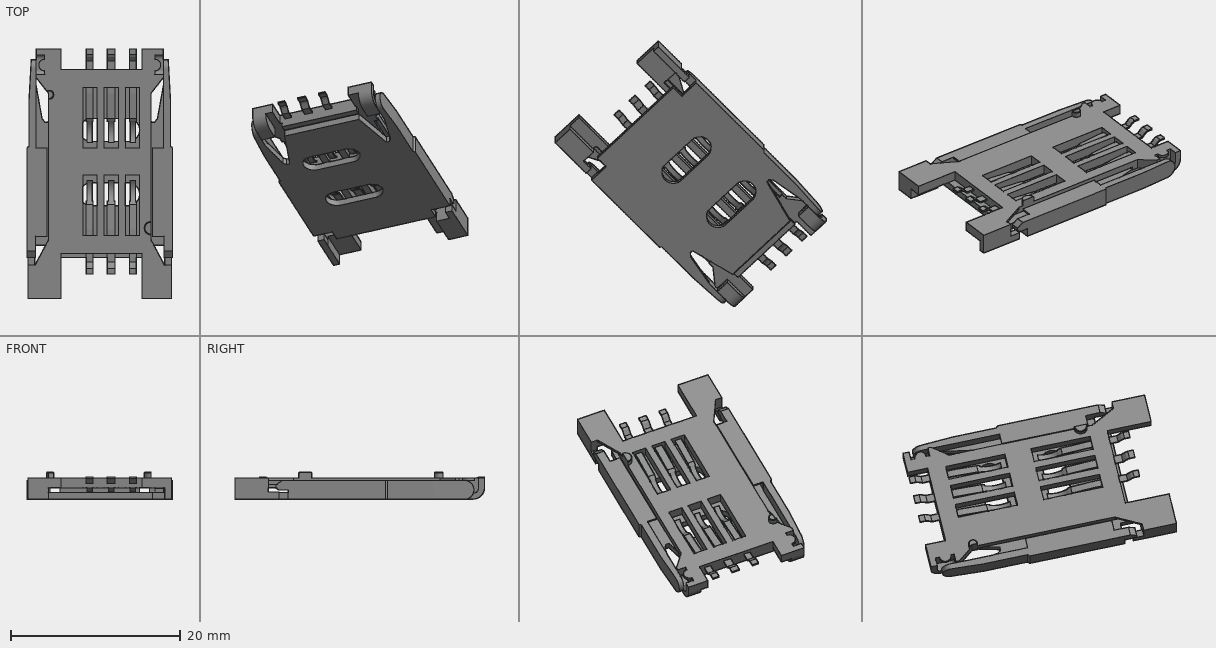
import cadquery as cq
import math

FLOOR_TOP = 0.8
ROOF = 1.35
RAIL_TOP = 2.22
PLATE_TOP = 2.53
PEG_TOP = 3.2

HALF_LENGTH = 14.75
PLATE_HALF_WIDTH = 6.06
ARM_HALF_WIDTH = 7.5
LEG_HALF_WIDTH = 8.48
ARM_FLARE_Y = 11.33
PLATE_REAR_Y = 9.49
PLATE_FRONT_Y = -7.8
LEG_FLARE_X = 7.65
LEG_REAR_Y = -10.78
EDGE_RELIEF_X = 5.6
EDGE_RELIEF_REAR_Y = 8.8
EDGE_RELIEF_TOP = 1.74

CONTACT_CENTRE_X = 1.355
CONTACT_CENTRE_Y = 1.45
CONTACT_PITCH = 2.56
CONTACT_WIDTHS = (0.82, 0.95, 0.82)
TIP_WIDTH = 0.66
CONTACT_THICKNESS = 0.2
SLOT_PITCH = 2.51
SLOT_WIDTH = 1.69
SLOT_INNER = 1.58
SLOT_OUTER = 8.74
NOTCH_OUTER = 10.88
NOTCH_LEFT = -4.57
NOTCH_RIGHT = 4.98

LEFT_LEG_INNER = -6.06
RIGHT_LEG_INNER = 7.7
PAD_INNER = 7.67
PAD_REAR_Y = -9.51
PAD_TOP = 0.87

FOOT_INNER = 5.85
FOOT_FRONT_Y = 11.73
FOOT_RADIUS = 1.4
STOP_HALF_WIDTH = 4.7
STOP_FRONT_Y = 11.6

RECESS_REAR_Y = 14.0
RECESS_DEPTH = 1.0
RECESS_FLOOR = 0.75
RECESS_RADIUS = 0.5
LOBE_BOTTOM = 2.2
LOBE_Y = 12.83
LOBE_RADIUS = 0.7

PEGS = ((-5.95, 9.33, 0.52), (6.03, -6.43, 0.78))
PEG_CHAMFER = 0.08

RAIL_HALF_WIDTH = 8.6
RAIL_STEP_HALF_WIDTH = 8.37
RAIL_TAIL_HALF_WIDTH = 8.1
RAIL_REAR_Y = 13.48
RAIL_BEND_Y = 8.66
JOGGLE_REAR_Y = 3.25
JOGGLE_FRONT_Y = 3.05
RAIL_END_RADIUS = 1.1
NOSE_Y = -9.91
NOSE_BOTTOM = 1.08
NOSE_TOP_CHAMFER = (0.78, 0.52)
NOSE_BOTTOM_CHAMFER = (0.35, 0.25)
FLAP_INNER = 6.25
FLAP_THICKNESS = 0.2
FLAP_FRONT_Y = -7.41
NOSE_INNER = 7.57

FLOOR_FRONT_Y = -8.45
TONGUE_HALF_WIDTH = 6.24
TONGUE_FRONT_Y = -9.91
FLOOR_REAR_Y = 11.5
WINDOW_WIDTH = 2.7
WINDOW_LENGTH = 7.05
WINDOW_X = 1.17
WINDOW_YS = (5.16, -2.42)
CUTOUT_REAR_Y = 10.4
CUTOUT_FRONT_Y = 6.1
CUTOUT_SLANT = (6.8, 6.5)
CUTOUT_CORNER_X = 6.48
CUTOUT_INNER_FRONT_X = 6.1
CUTOUT_INNER_REAR_X = 4.7


def box(x0, x1, y0, y1, z0, z1):
    """Block between two opposite corners."""
    return cq.Workplane("XY").box(x1 - x0, y1 - y0, z1 - z0, centered=False).translate((x0, y0, z0))


def both_sides(shape):
    """The shape and its mirror image across the YZ plane."""
    return shape.union(shape.mirror("YZ"))


def prism(points, z0, z1):
    """Plan outline raised from z0 to z1."""
    return cq.Workplane("XY").workplane(offset=z0).polyline(points).close().extrude(z1 - z0)


def side_prism(profile, x0, x1):
    """YZ profile (a closed wire on the YZ plane) spread from x0 to x1."""
    return profile.extrude(x1 - x0).translate((x0, 0, 0))


def plate_outline(z0, z1):
    right_edge = [
        (ARM_HALF_WIDTH, HALF_LENGTH),
        (ARM_HALF_WIDTH, ARM_FLARE_Y),
        (PLATE_HALF_WIDTH, PLATE_REAR_Y),
        (PLATE_HALF_WIDTH, PLATE_FRONT_Y),
        (LEG_FLARE_X, LEG_REAR_Y),
        (LEG_HALF_WIDTH, LEG_REAR_Y),
        (LEG_HALF_WIDTH, -HALF_LENGTH),
    ]
    left_edge = [(-x, y) for x, y in reversed(right_edge)]
    return prism(right_edge + left_edge, z0, z1)


def make_plate():
    flare_relief = box(PLATE_HALF_WIDTH, LEG_FLARE_X, LEG_REAR_Y, PLATE_FRONT_Y, ROOF, RAIL_TOP)
    edge_relief = box(
        EDGE_RELIEF_X, PLATE_HALF_WIDTH, LEG_REAR_Y, EDGE_RELIEF_REAR_Y, ROOF, EDGE_RELIEF_TOP
    )
    plate = plate_outline(ROOF, PLATE_TOP).cut(both_sides(flare_relief.union(edge_relief)))
    for outward in (1, -1):
        notch_edge = CONTACT_CENTRE_Y + outward * NOTCH_OUTER
        y0, y1 = sorted((notch_edge, outward * HALF_LENGTH))
        plate = plate.cut(box(NOTCH_LEFT, NOTCH_RIGHT, y0, y1, ROOF, PLATE_TOP))
        slot_y = CONTACT_CENTRE_Y + outward * (SLOT_INNER + SLOT_OUTER) / 2
        plate = plate.cut(
            cq.Workplane("XY", origin=(CONTACT_CENTRE_X, slot_y, ROOF))
            .rarray(SLOT_PITCH, 1, 3, 1)
            .rect(SLOT_WIDTH, SLOT_OUTER - SLOT_INNER)
            .extrude(PLATE_TOP - ROOF)
        )
    return plate


def make_legs():
    left_leg = box(-LEG_HALF_WIDTH, LEFT_LEG_INNER, -HALF_LENGTH, LEG_REAR_Y, 0, ROOF)
    right_leg = box(RIGHT_LEG_INNER, LEG_HALF_WIDTH, -HALF_LENGTH, LEG_REAR_Y, 0, ROOF)
    pad = box(PAD_INNER, LEG_HALF_WIDTH, LEG_REAR_Y, PAD_REAR_Y, 0, PAD_TOP)
    return left_leg.union(right_leg).union(both_sides(pad))


def make_feet():
    foot = box(FOOT_INNER, ARM_HALF_WIDTH, FOOT_FRONT_Y, HALF_LENGTH, 0, ROOF)
    return both_sides(foot)


def make_card_stop():
    stop_rear_y = CONTACT_CENTRE_Y + NOTCH_OUTER
    return box(-STOP_HALF_WIDTH, STOP_HALF_WIDTH, STOP_FRONT_Y, stop_rear_y, FLOOR_TOP, ROOF)


def make_latch_recesses():
    inner_x = ARM_HALF_WIDTH - RECESS_DEPTH
    recess = box(inner_x, ARM_HALF_WIDTH, FOOT_FRONT_Y, RECESS_REAR_Y, RECESS_FLOOR, PLATE_TOP)
    recess = recess.edges("|X and <Z").fillet(RECESS_RADIUS)
    lobe = (
        cq.Workplane("XY", origin=(inner_x, LOBE_Y, LOBE_BOTTOM))
        .circle(LOBE_RADIUS)
        .extrude(PLATE_TOP - LOBE_BOTTOM)
    )
    return both_sides(recess.cut(lobe))


def make_pegs():
    pegs = cq.Workplane("XY")
    for x, y, radius in PEGS:
        peg = cq.Workplane("XY", origin=(x, y, RAIL_TOP)).circle(radius).extrude(PEG_TOP - RAIL_TOP)
        pegs = pegs.add(peg.faces(">Z").chamfer(PEG_CHAMFER))
    return pegs.combine().intersect(plate_outline(RAIL_TOP, PEG_TOP))


CONTACT_TIP = (2.24, 1.25)
CONTACT_DIP = (3.53, 0.85)
CONTACT_RISE = (4.7, 1.35)
CONTACT_BEND = (5.1, 1.6)
CONTACT_ROOT = (8.0, 1.85)
TAIL_BEND = (11.85, 1.85)
TAIL_RISE = (12.33, 2.3)
TAIL_FLAT = (12.63, 2.45)
TAIL_END = (13.3, 2.45)


def raised(point):
    """The point on the contact's upper face above one on its underside."""
    return (point[0], point[1] + CONTACT_THICKNESS)


def make_contact(width):
    """One contact of the rear row, at X = 0 and measured from the row mirror line."""
    underside = [
        CONTACT_RISE, CONTACT_BEND, CONTACT_ROOT,
        TAIL_BEND, TAIL_RISE, TAIL_FLAT, TAIL_END,
    ]
    upper_face = [raised(point) for point in reversed(underside)]
    beam_profile = cq.Workplane("YZ").polyline(underside + upper_face).close()
    tip_profile = (
        cq.Workplane("YZ")
        .moveTo(*CONTACT_TIP)
        .threePointArc(CONTACT_DIP, CONTACT_RISE)
        .lineTo(*raised(CONTACT_RISE))
        .threePointArc(raised(CONTACT_DIP), raised(CONTACT_TIP))
        .close()
    )
    beam = side_prism(beam_profile, -width / 2, width / 2)
    return beam.union(side_prism(tip_profile, -TIP_WIDTH / 2, TIP_WIDTH / 2))


def make_housing():
    housing = make_plate().union(make_legs()).union(make_feet())
    housing = housing.edges(">Y").edges("<Z").fillet(FOOT_RADIUS).union(make_card_stop())
    housing = housing.cut(make_latch_recesses()).union(make_pegs())
    for place, width in enumerate(CONTACT_WIDTHS):
        contact_x = CONTACT_CENTRE_X + (place - 1) * CONTACT_PITCH
        rear_contact = make_contact(width)
        for contact in (rear_contact, rear_contact.mirror("XZ")):
            housing = housing.union(contact.translate((contact_x, CONTACT_CENTRE_Y, 0)))
    return housing


def make_rail():
    """Rail on the +X side, with its flap over the card channel."""
    plan = [
        (NOSE_INNER, NOSE_Y),
        (RAIL_HALF_WIDTH, NOSE_Y),
        (RAIL_HALF_WIDTH, JOGGLE_FRONT_Y),
        (RAIL_STEP_HALF_WIDTH, JOGGLE_REAR_Y),
        (RAIL_STEP_HALF_WIDTH, RAIL_BEND_Y),
        (RAIL_TAIL_HALF_WIDTH, RAIL_REAR_Y),
        (ARM_HALF_WIDTH, RAIL_REAR_Y),
        (ARM_HALF_WIDTH, JOGGLE_FRONT_Y),
        (FLAP_INNER, JOGGLE_FRONT_Y),
        (FLAP_INNER, FLAP_FRONT_Y),
        (NOSE_INNER, FLAP_FRONT_Y),
    ]
    rail = prism(plan, 0, RAIL_TOP)
    flap_bottom = RAIL_TOP - FLAP_THICKNESS
    channel = box(FLAP_INNER, NOSE_INNER, FLAP_FRONT_Y, JOGGLE_FRONT_Y, FLOOR_TOP, flap_bottom)
    return rail.cut(channel).intersect(rail_side_shape())


def rail_side_shape():
    """Side outline of the rail: rounded rear end and bevelled nose."""
    top_run, top_drop = NOSE_TOP_CHAMFER
    low_run, low_rise = NOSE_BOTTOM_CHAMFER
    round_start_y = RAIL_REAR_Y - RAIL_END_RADIUS
    round_reach = RAIL_END_RADIUS * math.sqrt(0.5)
    profile = (
        cq.Workplane("YZ")
        .moveTo(FLOOR_FRONT_Y, 0)
        .lineTo(FLOOR_FRONT_Y, NOSE_BOTTOM)
        .lineTo(NOSE_Y + low_run, NOSE_BOTTOM)
        .lineTo(NOSE_Y, NOSE_BOTTOM + low_rise)
        .lineTo(NOSE_Y, RAIL_TOP - top_drop)
        .lineTo(NOSE_Y + top_run, RAIL_TOP)
        .lineTo(round_start_y, RAIL_TOP)
        .threePointArc(
            (round_start_y + round_reach, RAIL_TOP - RAIL_END_RADIUS + round_reach),
            (RAIL_REAR_Y, RAIL_TOP - RAIL_END_RADIUS),
        )
        .threePointArc(
            (round_start_y + round_reach, RAIL_END_RADIUS - round_reach),
            (round_start_y, 0),
        )
        .close()
    )
    return side_prism(profile, 0, RAIL_HALF_WIDTH)


def make_floor():
    floor = box(-ARM_HALF_WIDTH, ARM_HALF_WIDTH, FLOOR_FRONT_Y, FLOOR_REAR_Y, 0, FLOOR_TOP)
    floor = floor.union(
        box(-NOSE_INNER, NOSE_INNER, FLOOR_FRONT_Y, JOGGLE_FRONT_Y, 0, FLOOR_TOP)
    )
    floor = floor.union(
        box(-TONGUE_HALF_WIDTH, TONGUE_HALF_WIDTH, TONGUE_FRONT_Y, FLOOR_FRONT_Y, 0, FLOOR_TOP)
    )
    cutout = [
        (ARM_HALF_WIDTH, FLOOR_REAR_Y),
        (ARM_HALF_WIDTH, CUTOUT_REAR_Y),
        CUTOUT_SLANT,
        (CUTOUT_CORNER_X, CUTOUT_FRONT_Y),
        (CUTOUT_INNER_FRONT_X, CUTOUT_FRONT_Y),
        (CUTOUT_INNER_REAR_X, FLOOR_REAR_Y),
    ]
    floor = floor.cut(both_sides(prism(cutout, 0, FLOOR_TOP)))
    windows = (
        cq.Workplane("XY")
        .pushPoints([(WINDOW_X, y) for y in WINDOW_YS])
        .slot2D(WINDOW_LENGTH, WINDOW_WIDTH)
        .extrude(FLOOR_TOP)
    )
    return floor.cut(windows)


def make_cover():
    return make_floor().union(both_sides(make_rail()))


housing = make_housing()
cover = make_cover()
result = cq.Compound.makeCompound([housing.solids().val(), cover.solids().val()])